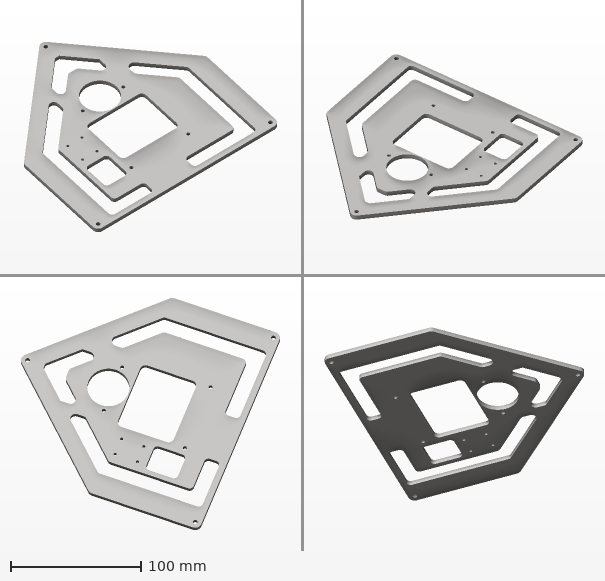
import cadquery as cq
import math

side = 180.0
half = side / 2
thickness = 4.0
rim_radius = 5.0
corner_radius = 3.5
tip_radius = 4.0

mount_offset = half - rim_radius
mount_diameter = 3.6
mount_points = [(-mount_offset, 0), (mount_offset, mount_offset), (mount_offset, -mount_offset)]

shoulder_center_x = 2.0
slope_run = (shoulder_center_x + mount_offset) / mount_offset

outer_slant_x = -73.3
inner_slant_x = -56.7
slot_outer_y = 71.8
slot_inner_y = 59.8
slot_outer_x = mount_offset
slot_inner_x = 72.9

upper_slant_end = 35.6
upper_tip_radius = 4.3
upper_straight_end = 9.9
lower_end = 30.0

chevron_outer_x = -71.1
chevron_inner_x = -52.2
chevron_half_height = 23.8

window_left, window_right = -1.5, 44.3
window_half_height = 28.3
window_radius = 4.3
opening_left, opening_right = 32.5, 58.5
opening_bottom, opening_top = -55.8, -34.0

bore_diameter = 32.4
bore_x = -18.5
screw_diameter = 3.0
screw_points = [(-14.8, 20.0), (-14.8, -20.0), (54.9, 28.0), (54.9, -28.0)]
pin_diameter = 2.3
pin_points = [(x, y) for x in (6.7, 25.0) for y in (-38.0, -52.0)]


def slant_x(axis_x, y):
    """X of a slanted edge at height y, given where the edge meets the X axis."""
    return axis_x + slope_run * abs(y)


def slant_y(axis_x, x):
    """Positive Y at which a slanted edge reaches x."""
    return (x - axis_x) / slope_run


def prism(points):
    return cq.Workplane("XY").polyline(points).close().extrude(thickness)


def round_corners(body, points, radius):
    """Fillet the vertical edges of body that stand on the given points."""
    for x, y in points:
        body = body.edges(cq.selectors.NearestToPointSelector((x, y, thickness / 2))).fillet(radius)
    return body


def holes(points, diameter):
    return cq.Workplane("XY").pushPoints(points).circle(diameter / 2).extrude(thickness)


def plate():
    """Five-sided plate whose slanted sides meet at a rounded nose."""
    nose_x = -mount_offset - rim_radius * math.hypot(1, slope_run)
    shoulder_x = slant_x(nose_x, half)
    outline = [(nose_x, 0), (shoulder_x, -half), (half, -half), (half, half), (shoulder_x, half)]
    return prism(outline).edges("|Z").fillet(rim_radius)


def side_slot(slant_end, straight_end, end_radius, sign):
    """Slot that follows the slanted, long and right sides; sign mirrors it across the X axis."""
    sharp_end = (slant_x(outer_slant_x, slant_end), sign * slant_end)
    others = [
        (slant_x(outer_slant_x, slot_outer_y), sign * slot_outer_y),
        (slot_outer_x, sign * slot_outer_y),
        (slot_outer_x, sign * straight_end),
        (slot_inner_x, sign * straight_end),
        (slot_inner_x, sign * slot_inner_y),
        (slant_x(inner_slant_x, slot_inner_y), sign * slot_inner_y),
        (slant_x(inner_slant_x, slant_end), sign * slant_end),
    ]
    slot = round_corners(prism([sharp_end] + others), [sharp_end], end_radius)
    return round_corners(slot, others, corner_radius)


def chevron_slot():
    """V-shaped slot with blunt tips, symmetric about the X axis."""
    top = chevron_half_height
    outer_y = slant_y(outer_slant_x, chevron_outer_x)
    inner_y = slant_y(inner_slant_x, chevron_inner_x)
    upper = [
        (chevron_outer_x, outer_y),
        (slant_x(outer_slant_x, top), top),
        (slant_x(inner_slant_x, top), top),
        (chevron_inner_x, inner_y),
    ]
    lower = [(x, -y) for x, y in reversed(upper)]
    slot = prism(upper + lower)
    slot = round_corners(slot, [upper[2], lower[1]], tip_radius)
    return round_corners(slot, [upper[3], lower[0]], corner_radius)


def rounded_rectangle(left, right, bottom, top, radius):
    corners = [(left, bottom), (right, bottom), (right, top), (left, top)]
    return prism(corners).edges("|Z").fillet(radius)


cutouts = [
    side_slot(upper_slant_end, upper_straight_end, upper_tip_radius, 1),
    side_slot(lower_end, lower_end, tip_radius, -1),
    chevron_slot(),
    rounded_rectangle(window_left, window_right, -window_half_height, window_half_height, window_radius),
    rounded_rectangle(opening_left, opening_right, opening_bottom, opening_top, corner_radius),
    holes([(bore_x, 0)], bore_diameter),
    holes(mount_points, mount_diameter),
    holes(screw_points, screw_diameter),
    holes(pin_points, pin_diameter),
]

result = plate()
for cutout in cutouts:
    result = result.cut(cutout)